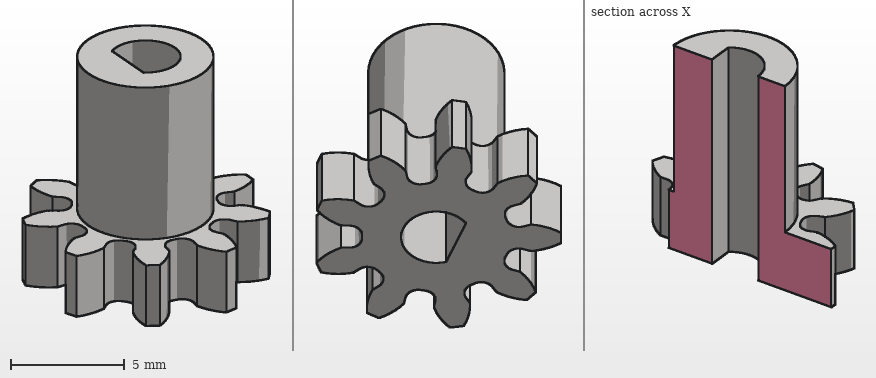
import cadquery as cq
import math

gear_height = 3.0
total_height = 10.5

hub_radius = 3.0
bore_radius = 1.55
flat_distance = 0.93

tooth_count = 9
gear_width = 10.92
first_tooth_angle = 90
pitch_angle = 360 / tooth_count
tip_half_angle = 3.2
flank_mid_radius = 4.91
flank_mid_half_width = 0.63

gap_half_width = 0.67
gap_floor_radius = 3.27
gap_floor_half_width = 0.1
gap_mouth_radius = 4.24
gap_corner_radius = gap_half_width - gap_floor_half_width

side_tooth_angle = pitch_angle / 4
tip_radius = gear_width / 2 / math.cos(math.radians(side_tooth_angle - tip_half_angle))


def polar(radius, angle):
    """Point at a radius and an angle in degrees."""
    radians = math.radians(angle)
    return radius * math.cos(radians), radius * math.sin(radians)


def beside_line(distance, offset, angle):
    """Point at a distance out along a radial line, offset counterclockwise from it."""
    return polar(math.hypot(distance, offset), angle + math.degrees(math.atan2(offset, distance)))


def add_tooth(outline, angle):
    """Go up the clockwise flank, across the tip and down the other flank."""
    mid_distance = math.sqrt(flank_mid_radius**2 - flank_mid_half_width**2)
    mouth_half_angle = math.degrees(math.asin(gap_half_width / gap_mouth_radius))
    flank_start_angle = pitch_angle / 2 - mouth_half_angle
    return (
        outline
        .threePointArc(
            beside_line(mid_distance, -flank_mid_half_width, angle),
            polar(tip_radius, angle - tip_half_angle),
        )
        .lineTo(*polar(tip_radius, angle + tip_half_angle))
        .threePointArc(
            beside_line(mid_distance, flank_mid_half_width, angle),
            polar(gap_mouth_radius, angle + flank_start_angle),
        )
    )


def add_gap(outline, angle):
    """Go down the clockwise side, across the floor and up the other side."""
    corner_distance = gap_floor_radius + gap_corner_radius
    mouth_distance = math.sqrt(gap_mouth_radius**2 - gap_half_width**2)
    corner_shift = gap_corner_radius * math.sqrt(0.5)
    arc_mid_distance = corner_distance - corner_shift
    arc_mid_offset = gap_floor_half_width + corner_shift
    return (
        outline
        .lineTo(*beside_line(corner_distance, -gap_half_width, angle))
        .threePointArc(
            beside_line(arc_mid_distance, -arc_mid_offset, angle),
            beside_line(gap_floor_radius, -gap_floor_half_width, angle),
        )
        .lineTo(*beside_line(gap_floor_radius, gap_floor_half_width, angle))
        .threePointArc(
            beside_line(arc_mid_distance, arc_mid_offset, angle),
            beside_line(corner_distance, gap_half_width, angle),
        )
        .lineTo(*beside_line(mouth_distance, gap_half_width, angle))
    )


def make_gear():
    mouth_distance = math.sqrt(gap_mouth_radius**2 - gap_half_width**2)
    start = beside_line(mouth_distance, gap_half_width, first_tooth_angle - pitch_angle / 2)
    outline = cq.Workplane("XY").moveTo(*start)
    for index in range(tooth_count):
        tooth_angle = first_tooth_angle + index * pitch_angle
        outline = add_tooth(outline, tooth_angle)
        outline = add_gap(outline, tooth_angle + pitch_angle / 2)
    return outline.close().extrude(gear_height)


def make_hub():
    return cq.Workplane("XY").circle(hub_radius).extrude(total_height)


def make_bore():
    flat_half_width = math.sqrt(bore_radius**2 - flat_distance**2)
    return (
        cq.Workplane("XY")
        .moveTo(-flat_half_width, -flat_distance)
        .lineTo(flat_half_width, -flat_distance)
        .threePointArc((0, bore_radius), (-flat_half_width, -flat_distance))
        .close()
        .extrude(total_height)
    )


result = make_gear().union(make_hub()).cut(make_bore())